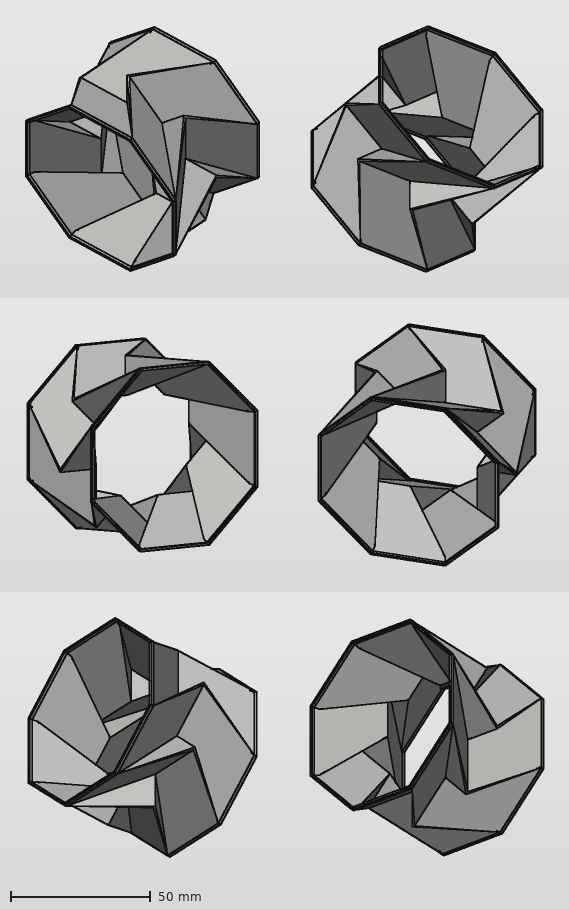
import cadquery as cq
import math

SIDES = 8
LENGTH = 50.4
RING_APOTHEM = 33.4
RING_WIDTH = 1.2
FOLD_APOTHEM = 33.25
WAIST_APOTHEM = 19.35
STEP_OFFSET = 7.0
SHEET = 0.6
FAR = 2 * RING_APOTHEM

TURN = 360 / SIDES
HALF_ANGLE = math.pi / SIDES
FOLD_LENGTH = LENGTH / 2 - RING_WIDTH
CORNER = FOLD_APOTHEM * math.tan(HALF_ANGLE)

PANEL_DEPTH = SHEET * math.hypot(1, (FOLD_APOTHEM - WAIST_APOTHEM) / FOLD_LENGTH)
STEP_WIDTH = SHEET * math.hypot(1, (CORNER + STEP_OFFSET) / FOLD_LENGTH)
RING_INSIDE = FOLD_APOTHEM - PANEL_DEPTH
WAIST_INSIDE = WAIST_APOTHEM - PANEL_DEPTH


def turned(shape, count):
    """Shape moved on by a number of sides, clockwise as seen along +Y."""
    return shape.rotate((0, 0, 0), (0, 1, 0), count * TURN)


def octagon_prism(apothem, start, depth):
    """Octagonal prism with flats facing X and Z, running along +Y from start."""
    outline = cq.Workplane("XZ", origin=(0, start, 0)).polygon(SIDES, 2 * apothem / math.cos(HALF_ANGLE))
    return turned(outline.extrude(-depth), 0.5)


def side_prism(points):
    """Prism along X over an outline in (Y, Z), crossing the whole part."""
    return cq.Workplane("YZ").polyline(points).close().extrude(FAR, both=True)


def plan_prism(points):
    """Prism along Z over an outline in (X, Y), crossing the whole part."""
    return cq.Workplane("XY").polyline(points).close().extrude(FAR, both=True)


def ring():
    """End ring at +Y, flush inside with the panels."""
    outside = octagon_prism(RING_APOTHEM, FOLD_LENGTH, RING_WIDTH)
    return outside.cut(octagon_prism(RING_INSIDE, FOLD_LENGTH, RING_WIDTH))


def fold():
    """Top panel of the +Y half, with the step that rises from its +X edge to the next panel."""
    panel = side_prism([
        (0, WAIST_APOTHEM),
        (FOLD_LENGTH, FOLD_APOTHEM),
        (FOLD_LENGTH, RING_INSIDE),
        (0, WAIST_INSIDE),
    ])
    step = plan_prism([
        (-STEP_OFFSET, 0),
        (STEP_WIDTH - STEP_OFFSET, 0),
        (CORNER + STEP_WIDTH, FOLD_LENGTH),
        (CORNER, FOLD_LENGTH),
    ])
    panel_region = plan_prism([
        (STEP_WIDTH - STEP_OFFSET, 0),
        (CORNER + STEP_WIDTH, FOLD_LENGTH),
        (-FAR, FOLD_LENGTH),
        (-FAR, 0),
    ])
    step_outer_region = plan_prism([
        (-STEP_OFFSET, 0),
        (CORNER, FOLD_LENGTH),
        (FAR, FOLD_LENGTH),
        (FAR, 0),
    ])
    above_panel_inside = side_prism([
        (0, WAIST_INSIDE),
        (FOLD_LENGTH, RING_INSIDE),
        (FOLD_LENGTH, FAR),
        (0, FAR),
    ])
    below_panel_outside = side_prism([
        (0, WAIST_APOTHEM),
        (FOLD_LENGTH, FOLD_APOTHEM),
        (FOLD_LENGTH, -FAR),
        (0, -FAR),
    ])
    step = step.intersect(above_panel_inside)
    panel = panel.intersect(panel_region).intersect(turned(step_outer_region, -1))
    body = panel.union(step).intersect(turned(below_panel_outside, 1))
    return body.intersect(octagon_prism(FOLD_APOTHEM, 0, FOLD_LENGTH))


one_fold = fold()
half = ring()
for side in range(SIDES):
    half = half.union(turned(one_fold, side))

result = half.union(half.mirror("XZ"))